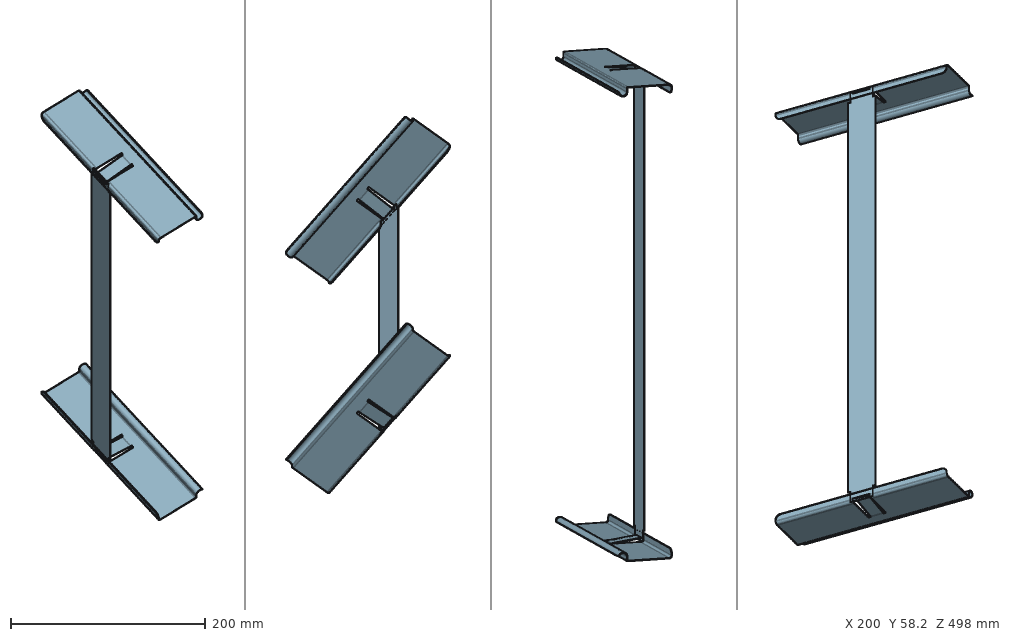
import cadquery as cq

length = 200.0
depth = 58.2
height = 498.0
sheet = 1.0

front_bend_radius = 3.5
back_bend_radius = 1.5
lip_height = 10.0
hook_radius = 4.8
lip_corner_radius = 6.0
hook_corner_radius = 4.0

strip_width = 32.0
neck_width = 26.0
shoulder_depth = 13.5
neck_end_depth = 1.0

tab_width = 15.0
window_width = 20.0
window_back_y = 6.5
tab_fold_y = 5.3
tab_drop = 4.1
window_depth = 4.0

top_z = height / 2
front_y = -depth / 2
back_y = depth / 2
lip_bottom_z = top_z - lip_height
hook_center_y = back_y - hook_radius
hook_center_z = lip_bottom_z + hook_radius
wall_inner_y = back_y - 2 * hook_radius
wall_outer_y = wall_inner_y + sheet
strip_front_y = front_y + sheet


def x_box(width, y_min, y_max, z_min, z_max):
    """Box centred on X = 0 between the given Y and Z limits."""
    box = cq.Workplane("XY").box(width, y_max - y_min, z_max - z_min)
    return box.translate((0, (y_min + y_max) / 2, (z_min + z_max) / 2))


def extrude_section(section, width):
    """Extrude a closed YZ section to the given width, centred on X = 0."""
    return section.extrude(width / 2, both=True)


def channel_blank():
    """Upper channel: flat web, straight lip in front and rounded hook at the back."""
    inner_z = top_z - sheet
    section = (
        cq.Workplane("YZ")
        .moveTo(front_y, lip_bottom_z)
        .lineTo(front_y, top_z - front_bend_radius)
        .radiusArc((front_y + front_bend_radius, top_z), front_bend_radius)
        .lineTo(wall_outer_y - back_bend_radius, top_z)
        .radiusArc((wall_outer_y, top_z - back_bend_radius), back_bend_radius)
        .lineTo(wall_outer_y, hook_center_z)
        .threePointArc(
            (hook_center_y, lip_bottom_z + sheet),
            (back_y - sheet, hook_center_z),
        )
        .lineTo(back_y, hook_center_z)
        .threePointArc((hook_center_y, lip_bottom_z), (wall_inner_y, hook_center_z))
        .lineTo(wall_inner_y, top_z - back_bend_radius)
        .radiusArc((wall_outer_y - back_bend_radius, inner_z), sheet - back_bend_radius)
        .lineTo(front_y + front_bend_radius, inner_z)
        .radiusArc((front_y + sheet, top_z - front_bend_radius), sheet - front_bend_radius)
        .lineTo(front_y + sheet, lip_bottom_z)
        .close()
    )
    return extrude_section(section, length)


def corner_cuts(face_y, reach, edge_z, inward_z, radius):
    """Waste pieces that round both end corners of a free edge.

    They start at face_y and reach toward +Y; inward_z is the sign of the Z direction into the sheet.
    """
    waste = cq.Workplane("XY")
    for side in (-1, 1):
        end_x = side * length / 2
        corner = (
            cq.Workplane("XZ", origin=(0, face_y, 0))
            .moveTo(end_x, edge_z)
            .lineTo(end_x - side * radius, edge_z)
            .radiusArc((end_x, edge_z + inward_z * radius), -side * inward_z * radius)
            .close()
            .extrude(-reach)
        )
        waste = waste.add(corner)
    return waste.combine()


def pressed_tab():
    """Tab sloping down from the web to the lip, inside the window."""
    root_z = top_z - tab_drop
    section = (
        cq.Workplane("YZ")
        .moveTo(window_back_y, top_z)
        .lineTo(tab_fold_y, top_z)
        .lineTo(strip_front_y, root_z)
        .lineTo(strip_front_y, root_z - sheet)
        .lineTo(tab_fold_y, top_z - sheet)
        .lineTo(window_back_y, top_z - sheet)
        .close()
    )
    return extrude_section(section, tab_width)


def upper_channel():
    """Channel with rounded end corners, and the pressed tab standing in its window."""
    lip_cuts = corner_cuts(front_y, sheet, lip_bottom_z, 1, lip_corner_radius)
    hook_cuts = corner_cuts(hook_center_y, hook_radius, hook_center_z, -1, hook_corner_radius)
    window = x_box(window_width, front_y, window_back_y, top_z - window_depth, top_z)
    return channel_blank().cut(lip_cuts).cut(hook_cuts).cut(window).union(pressed_tab())


def strip():
    """Upright strip with a narrower neck behind the lip at each end."""
    strip_back_y = strip_front_y + sheet
    body_top_z = top_z - shoulder_depth
    neck_top_z = top_z - neck_end_depth
    body = x_box(strip_width, strip_front_y, strip_back_y, -body_top_z, body_top_z)
    neck = x_box(neck_width, strip_front_y, strip_back_y, -neck_top_z, neck_top_z)
    return body.union(neck)


channel = upper_channel()
result = channel.union(channel.mirror("XY")).union(strip())